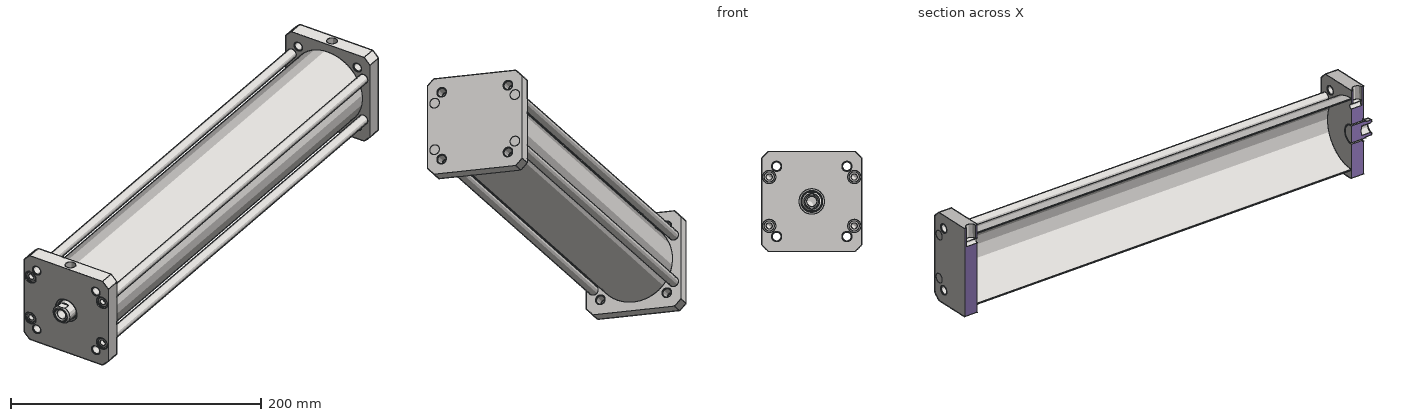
import cadquery as cq
import math

total_length = 407.0
cap_side = 80.0
cap_thickness = 12.5
cap_corner_circle = 106.0
rod_stickout = 8.0

rod_tip_y = -total_length / 2
front_face_y = rod_tip_y + rod_stickout
front_inner_y = front_face_y + cap_thickness
rear_face_y = total_length / 2
rear_inner_y = rear_face_y - cap_thickness

tube_outer_diameter = 66.0
tube_bore = 63.0

tie_diameter = 8.0
tie_inset = 6.0
tie_x = cap_side / 2 - tie_inset
tie_z = 19.5
tie_recess_diameter = 10.5
tie_recess_depth = 1.2
tie_socket_diameter = 5.0
tie_socket_depth = 4.0

mount_offset = 28.0
mount_diameter = 7.0
mount_mouth_diameter = 8.0

port_diameter = 8.5
port_depth = 12.2
passage_diameter = 4.0
drill_half_angle = math.radians(59)

rod_diameter = 16.0
rod_chamfer_width = 1.5
rod_chamfer_length = 1.2
rod_flat_distance = 14.2
rod_flat_length = 6.0
rod_hole_diameter = 8.0
rod_hole_mouth_diameter = 10.5
rod_hole_depth = 10.0
rod_hole_tip_depth = 0.5
rod_bore_diameter = 17.5
rod_recess_diameter = 20.5
rod_recess_depth = 1.2


def mirrored_places(x, z):
    """The four (x, z) places mirrored about the cylinder axis."""
    return [(side * x, level * z) for side in (-1, 1) for level in (-1, 1)]


tie_places = mirrored_places(tie_x, tie_z)
mount_places = mirrored_places(mount_offset, mount_offset)


def round_bar(diameter, start_y, end_y, x=0.0, z=0.0):
    """Round bar parallel to Y between two Y positions."""
    start = cq.Vector(x, start_y, z)
    return cq.Workplane(cq.Solid.makeCylinder(diameter / 2, end_y - start_y, start, cq.Vector(0, 1, 0)))


def taper(start_diameter, end_diameter, start_y, length, x=0.0, z=0.0):
    """Cone parallel to Y that starts at start_y and grows toward +Y."""
    start = cq.Vector(x, start_y, z)
    return cq.Workplane(
        cq.Solid.makeCone(start_diameter / 2, end_diameter / 2, length, start, cq.Vector(0, 1, 0))
    )


def drill_tip_depth(diameter):
    return diameter / 2 / math.tan(drill_half_angle)


def mount_hole(start_y, x, z):
    """Cutter for one mounting hole with 45 degree chamfers at both ends."""
    end_y = start_y + cap_thickness
    chamfer = (mount_mouth_diameter - mount_diameter) / 2
    hole = round_bar(mount_diameter, start_y, end_y, x, z)
    hole = hole.union(taper(mount_mouth_diameter, mount_diameter, start_y, chamfer, x, z))
    return hole.union(taper(mount_diameter, mount_mouth_diameter, end_y - chamfer, chamfer, x, z))


def air_port(center_y, inner_y):
    """Cutter for a drilled port from the top of a cap and its passage to the inner face."""
    floor_z = cap_side / 2 - port_depth
    tip_depth = drill_tip_depth(port_diameter)
    floor = cq.Vector(0, center_y, floor_z)
    port = cq.Workplane(cq.Solid.makeCylinder(port_diameter / 2, port_depth, floor))
    tip = cq.Workplane(cq.Solid.makeCone(port_diameter / 2, 0, tip_depth, floor, cq.Vector(0, 0, -1)))
    inward = math.copysign(1, inner_y - center_y)
    far_y = center_y - inward * port_diameter / 2
    passage = round_bar(passage_diameter, min(far_y, inner_y), max(far_y, inner_y), z=floor_z - tip_depth)
    return port.union(tip).union(passage)


def end_cap(start_y, inner_y):
    """Features shared by both caps: plate with turned corners, air port and holes."""
    center_y = start_y + cap_thickness / 2
    square = cq.Workplane("XY").box(cap_side, cap_thickness, cap_side).translate((0, center_y, 0))
    cap = square.intersect(round_bar(cap_corner_circle, start_y, start_y + cap_thickness))
    cap = cap.cut(air_port(center_y, inner_y))
    for x, z in mount_places:
        cap = cap.cut(mount_hole(start_y, x, z))
    for x, z in tie_places:
        cap = cap.cut(round_bar(tie_diameter, start_y, start_y + cap_thickness, x, z))
    return cap


def make_front_cap():
    cap = end_cap(front_face_y, front_inner_y)
    for x, z in tie_places:
        cap = cap.cut(round_bar(tie_recess_diameter, front_face_y, front_face_y + tie_recess_depth, x, z))
    cap = cap.cut(round_bar(rod_bore_diameter, front_face_y, front_inner_y))
    return cap.cut(round_bar(rod_recess_diameter, front_face_y, front_face_y + rod_recess_depth))


def make_rear_cap():
    return end_cap(rear_inner_y, rear_inner_y)


def make_tube():
    outside = round_bar(tube_outer_diameter, front_inner_y, rear_inner_y)
    return outside.cut(round_bar(tube_bore, front_inner_y, rear_inner_y))


def make_tie_rod(x, z):
    front_y = front_face_y + tie_recess_depth
    socket_floor_y = front_y + tie_socket_depth
    rod = round_bar(tie_diameter, front_y, rear_face_y, x, z)
    rod = rod.cut(round_bar(tie_socket_diameter, front_y, socket_floor_y, x, z))
    socket_tip_depth = drill_tip_depth(tie_socket_diameter)
    return rod.cut(taper(tie_socket_diameter, 0, socket_floor_y, socket_tip_depth, x, z))


def make_piston_rod():
    rod = round_bar(rod_diameter, rod_tip_y, front_inner_y)
    rod = rod.faces("<Y").edges().chamfer(rod_chamfer_length, rod_chamfer_width)
    for side in (-1, 1):
        flat = cq.Workplane("XY").box(rod_diameter, rod_flat_length, rod_diameter)
        flat_z = side * (rod_flat_distance + rod_diameter) / 2
        rod = rod.cut(flat.translate((0, rod_tip_y + rod_flat_length / 2, flat_z)))
    hole_floor_y = rod_tip_y + rod_hole_depth
    rod = rod.cut(round_bar(rod_hole_diameter, rod_tip_y, hole_floor_y))
    rod = rod.cut(taper(rod_hole_diameter, 0, hole_floor_y, rod_hole_tip_depth))
    mouth_depth = (rod_hole_mouth_diameter - rod_hole_diameter) / 2
    return rod.cut(taper(rod_hole_mouth_diameter, rod_hole_diameter, rod_tip_y, mouth_depth))


front_cap = make_front_cap()
rear_cap = make_rear_cap()
tube = make_tube()
piston_rod = make_piston_rod()
tie_rods = [make_tie_rod(x, z) for x, z in tie_places]

result = cq.Compound.makeCompound(
    [front_cap.val(), rear_cap.val(), tube.val(), piston_rod.val(), *[rod.val() for rod in tie_rods]]
)